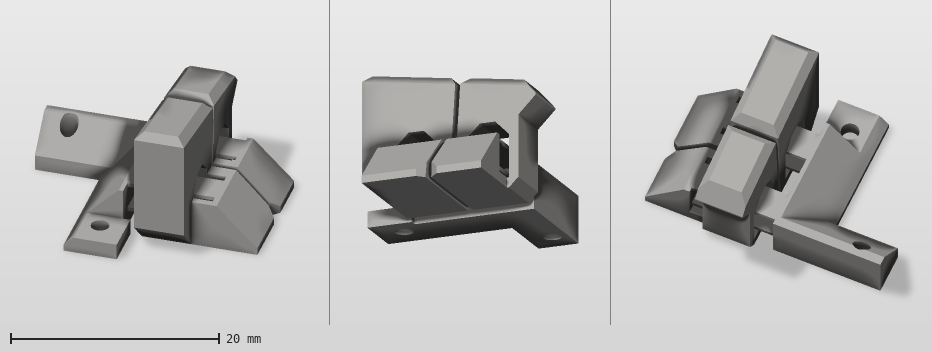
import cadquery as cq
import math

FRAME_HEIGHT = 4.82
FRAME_BACK_Y = 16.97
WALL_BACK_X = 11.3
BACK_ARM_FRONT_Y = 12.85
BACK_ARM_LIP_WIDTH = 0.95
SIDE_ARM_LEFT_X = 6.7
SIDE_ARM_LIP_WIDTH = 0.45
FOOT_RIGHT_X = 12.02
FOOT_BACK_Y = 4.58
FOOT_HEIGHT = 1.65
HOLE_DIAMETER = 1.8
HOLE_CENTERS = [(2.7, 15.35), (9.52, 2.8)]

BLOCK_LEFT_X = 13.15
BLOCK_RIGHT_X = 18.15
PAD_SLOPE_X = 20.65
PAD_END_X = 24.75
PAD_END_HEIGHT = FRAME_HEIGHT - (PAD_END_X - PAD_SLOPE_X)
PAD_CORNER = 0.8
KEY_CHAMFER = 0.8
TOP_TILT = math.radians(8.5)

GAP_DRAFT = math.radians(3.5)
FRONT_KEY_GAP_Y = 10.9
REAR_KEY_GAP_Y = 11.43

FRONT_KEY_FRONT_Y = 1.95
FRONT_KEY_APEX_Z = 13.43
FRONT_KEY_BASE_CHAMFER = FOOT_BACK_Y - FRONT_KEY_FRONT_Y

REAR_KEY_APEX_Z = 11.95
REAR_KEY_TOP_BACK_Y = 19.2
NOSE_TIP_Y = 19.95
NOSE_TIP_FLAT = 0.17
REAR_KEY_BACK_Y = 18.13
REAR_KEY_BASE_CHAMFER = 0.96

TUNNEL_WIDTH = 4.5
TUNNEL_FLOOR_Z = 1.05
TUNNEL_TOP_Z = 6.85
TUNNEL_CHAMFER = 1.45
TUNNEL_END_X = 20.06
SPRING_WIDTH = 3.05
SPRING_THICKNESS = 0.4
SPRING_BASES_Z = [1.65, FRAME_HEIGHT - SPRING_THICKNESS]
FRONT_TUNNEL_Y = 7.55
REAR_TUNNEL_Y = 14.95


def box(x0, x1, y0, y1, z0, z1):
    return cq.Workplane("XY").box(x1 - x0, y1 - y0, z1 - z0, centered=False).translate((x0, y0, z0))


def extrude_along_x(yz_points, x0, x1):
    return cq.Workplane("YZ", origin=(x0, 0, 0)).polyline(yz_points).close().extrude(x1 - x0)


def extrude_along_y(xz_points, y0, y1):
    return cq.Workplane("XZ", origin=(0, y0, 0)).polyline(xz_points).close().extrude(y0 - y1)


def gap_y(base_y, z):
    """Y of a drafted gap face at height z."""
    return base_y + z * math.tan(GAP_DRAFT)


def gap_corner(base_y, apex_y, apex_z):
    """Point where a drafted gap face meets the tilted top through the given apex."""
    draft = math.tan(GAP_DRAFT)
    tilt = math.tan(TOP_TILT)
    z = (apex_z - tilt * (base_y - apex_y)) / (1 + tilt * draft)
    return gap_y(base_y, z), z


def make_frame():
    lip_front_y = FRAME_BACK_Y - BACK_ARM_LIP_WIDTH
    back_arm = extrude_along_x(
        [
            (BACK_ARM_FRONT_Y, 0),
            (FRAME_BACK_Y, 0),
            (FRAME_BACK_Y, FRAME_HEIGHT),
            (lip_front_y, FRAME_HEIGHT),
            (BACK_ARM_FRONT_Y, FRAME_HEIGHT - (lip_front_y - BACK_ARM_FRONT_Y)),
        ],
        0,
        WALL_BACK_X,
    )
    lip_left_x = WALL_BACK_X - SIDE_ARM_LIP_WIDTH
    side_arm = extrude_along_y(
        [
            (SIDE_ARM_LEFT_X, 0),
            (WALL_BACK_X, 0),
            (WALL_BACK_X, FRAME_HEIGHT),
            (lip_left_x, FRAME_HEIGHT),
            (SIDE_ARM_LEFT_X, FRAME_HEIGHT - (lip_left_x - SIDE_ARM_LEFT_X)),
        ],
        0,
        FRAME_BACK_Y,
    )
    above_foot = box(0, FOOT_RIGHT_X, 0, FOOT_BACK_Y, FOOT_HEIGHT, FRAME_HEIGHT)
    foot_extension = box(lip_left_x, FOOT_RIGHT_X, 0, FOOT_BACK_Y, 0, FOOT_HEIGHT)
    frame = side_arm.cut(above_foot).union(foot_extension).union(back_arm)
    holes = (
        cq.Workplane("XY").pushPoints(HOLE_CENTERS).circle(HOLE_DIAMETER / 2).extrude(FRAME_HEIGHT)
    )
    return frame.cut(holes)


def make_block(yz_points):
    """Key block whose tilted top face is chamfered all round."""
    block = extrude_along_x(yz_points, BLOCK_LEFT_X, BLOCK_RIGHT_X)
    return block.faces(">Z").chamfer(KEY_CHAMFER)


def make_pad(gap_base_y, outer_y):
    """Sloped pad with a drafted gap face and a cut vertical corner beside the gap."""
    slope = extrude_along_y(
        [
            (BLOCK_LEFT_X, 0),
            (PAD_END_X, 0),
            (PAD_END_X, PAD_END_HEIGHT),
            (PAD_SLOPE_X, FRAME_HEIGHT),
            (BLOCK_LEFT_X, FRAME_HEIGHT),
        ],
        0,
        NOSE_TIP_Y,
    )
    outline = extrude_along_x(
        [
            (outer_y, 0),
            (gap_base_y, 0),
            (gap_y(gap_base_y, FRAME_HEIGHT), FRAME_HEIGHT),
            (outer_y, FRAME_HEIGHT),
        ],
        BLOCK_LEFT_X,
        PAD_END_X,
    )
    inward = math.copysign(PAD_CORNER, outer_y - gap_base_y)
    corner_y = gap_y(gap_base_y, PAD_END_HEIGHT + PAD_CORNER)
    corner = (
        cq.Workplane("XY")
        .polyline(
            [
                (PAD_END_X + PAD_CORNER, corner_y + 2 * inward),
                (PAD_END_X - 2 * PAD_CORNER, corner_y - inward),
                (PAD_END_X + PAD_CORNER, corner_y - inward),
            ]
        )
        .close()
        .extrude(FRAME_HEIGHT)
    )
    return slope.intersect(outline).cut(corner)


def make_tunnel(center_y):
    left_y = center_y - TUNNEL_WIDTH / 2
    right_y = center_y + TUNNEL_WIDTH / 2
    shoulder_z = TUNNEL_TOP_Z - TUNNEL_CHAMFER
    return extrude_along_x(
        [
            (left_y, TUNNEL_FLOOR_Z),
            (right_y, TUNNEL_FLOOR_Z),
            (right_y, shoulder_z),
            (right_y - TUNNEL_CHAMFER, TUNNEL_TOP_Z),
            (left_y + TUNNEL_CHAMFER, TUNNEL_TOP_Z),
            (left_y, shoulder_z),
        ],
        BLOCK_LEFT_X,
        TUNNEL_END_X,
    )


def make_springs(center_y):
    """Two parallel leaves joining the frame to the far end of the tunnel."""
    front_y = center_y - SPRING_WIDTH / 2
    back_y = center_y + SPRING_WIDTH / 2
    springs = cq.Workplane("XY")
    for base_z in SPRING_BASES_Z:
        leaf = box(WALL_BACK_X, TUNNEL_END_X, front_y, back_y, base_z, base_z + SPRING_THICKNESS)
        springs = springs.add(leaf)
    return springs


def make_front_key():
    block = make_block(
        [
            (FRONT_KEY_FRONT_Y + FRONT_KEY_BASE_CHAMFER, 0),
            (FRONT_KEY_GAP_Y, 0),
            gap_corner(FRONT_KEY_GAP_Y, FRONT_KEY_FRONT_Y, FRONT_KEY_APEX_Z),
            (FRONT_KEY_FRONT_Y, FRONT_KEY_APEX_Z),
            (FRONT_KEY_FRONT_Y, FRONT_KEY_BASE_CHAMFER),
        ]
    )
    return block.union(make_pad(FRONT_KEY_GAP_Y, FOOT_BACK_Y)).cut(make_tunnel(FRONT_TUNNEL_Y))


def make_rear_key():
    gap_top = gap_corner(REAR_KEY_GAP_Y, gap_y(REAR_KEY_GAP_Y, REAR_KEY_APEX_Z), REAR_KEY_APEX_Z)
    top_back_z = REAR_KEY_APEX_Z - (REAR_KEY_TOP_BACK_Y - gap_top[0]) * math.tan(TOP_TILT)
    nose_top_z = top_back_z - KEY_CHAMFER
    nose_slope = math.radians(45) + TOP_TILT / 2
    nose_tip_z = nose_top_z - (NOSE_TIP_Y - REAR_KEY_TOP_BACK_Y) * math.tan(nose_slope)
    nose_low_z = nose_tip_z - NOSE_TIP_FLAT
    nose_root_z = nose_low_z - (NOSE_TIP_Y - REAR_KEY_BACK_Y)
    block = make_block(
        [
            (REAR_KEY_GAP_Y, 0),
            (REAR_KEY_BACK_Y - REAR_KEY_BASE_CHAMFER, 0),
            (REAR_KEY_BACK_Y, REAR_KEY_BASE_CHAMFER),
            (REAR_KEY_BACK_Y, nose_root_z),
            (REAR_KEY_TOP_BACK_Y, nose_root_z + REAR_KEY_TOP_BACK_Y - REAR_KEY_BACK_Y),
            (REAR_KEY_TOP_BACK_Y, top_back_z),
            gap_top,
        ]
    )
    nose = extrude_along_x(
        [
            (REAR_KEY_BACK_Y, nose_root_z),
            (NOSE_TIP_Y, nose_low_z),
            (NOSE_TIP_Y, nose_tip_z),
            (REAR_KEY_TOP_BACK_Y, nose_top_z),
            (REAR_KEY_BACK_Y, nose_top_z),
        ],
        BLOCK_LEFT_X,
        BLOCK_RIGHT_X,
    )
    key = block.union(nose).union(make_pad(REAR_KEY_GAP_Y, FRAME_BACK_Y))
    return key.cut(make_tunnel(REAR_TUNNEL_Y))


result = make_frame().union(make_front_key()).union(make_rear_key())
for tunnel_y in (FRONT_TUNNEL_Y, REAR_TUNNEL_Y):
    result = result.union(make_springs(tunnel_y))